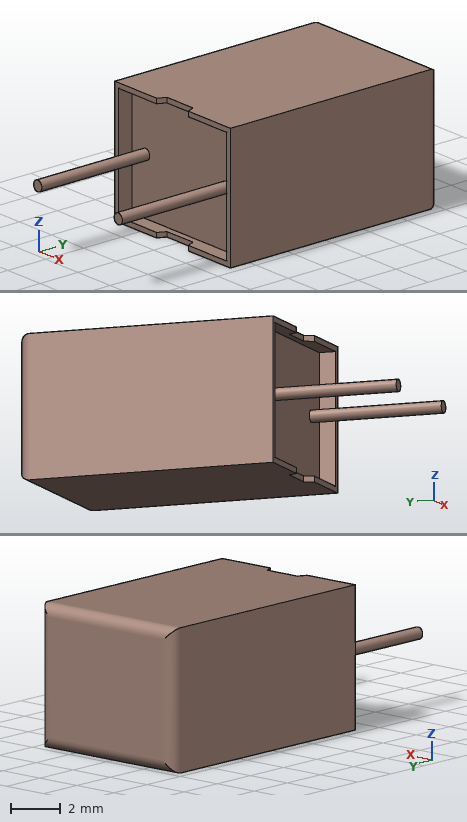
import cadquery as cq

total_length = 16.0
case_width = 7.2
case_height = 6.0
lead_length_outside = 5.0
case_length = total_length - lead_length_outside
wall = 0.24
back_fillet = 0.5

notch_mouth_width = 1.98
notch_floor_width = 1.6
notch_depth = 0.38

fill_recess = 0.7
lead_diameter = 0.51
lead_pitch = 5.0

rim_y = lead_length_outside
back_y = rim_y + case_length
fill_front_y = rim_y + fill_recess
fill_back_y = back_y - wall


def box_between(width, height, front_y, rear_y):
    """Box centred on the Y axis that spans front_y to rear_y."""
    return cq.Workplane("XY").box(width, rear_y - front_y, height).translate((0, (front_y + rear_y) / 2, 0))


def make_cavity_fill(front_y):
    """Block that fits the case cavity from front_y to its closed end."""
    return box_between(case_width - 2 * wall, case_height - 2 * wall, front_y, fill_back_y)


def make_notch_cutter():
    """Trapezoid prism that crosses both broad walls at the rim."""
    floor_y = rim_y + notch_depth
    return (
        cq.Workplane("XY")
        .moveTo(-notch_mouth_width / 2, rim_y)
        .lineTo(notch_mouth_width / 2, rim_y)
        .lineTo(notch_floor_width / 2, floor_y)
        .lineTo(-notch_floor_width / 2, floor_y)
        .close()
        .extrude(case_height, both=True)
    )


def make_case():
    """Open box with a rounded closed end and two rim notches."""
    outer = box_between(case_width, case_height, rim_y, back_y)
    outer = outer.faces(">Y").edges().fillet(back_fillet)
    return outer.cut(make_cavity_fill(rim_y)).cut(make_notch_cutter())


def make_lead(x):
    """Round wire from its free tip to the face of the potting fill."""
    return (
        cq.Workplane("XZ")
        .center(x, 0)
        .circle(lead_diameter / 2)
        .extrude(-fill_front_y)
    )


case = make_case()
potting_fill = make_cavity_fill(fill_front_y)
leads = [make_lead(side * lead_pitch / 2) for side in (-1, 1)]

result = cq.Compound.makeCompound([case.val(), potting_fill.val(), *[lead.val() for lead in leads]])